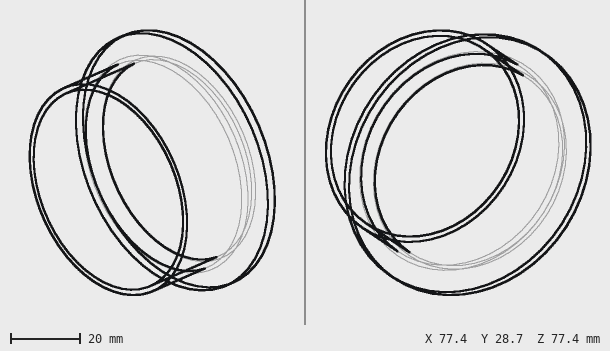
import cadquery as cq
import math

flange_diameter = 77.39
tube_outer_diameter = 63.5
tube_bore_diameter = 60.2
overall_length = 28.7
rim_thickness = 2.85
cone_angle = math.radians(20.0)
neck_fillet_radius = 1.6
mouth_round_radius = 0.8

flange_radius = flange_diameter / 2
tube_radius = tube_outer_diameter / 2
bore_radius = tube_bore_diameter / 2
cone_drop = (flange_radius - tube_radius) * math.tan(cone_angle)
neck_y = -(rim_thickness + cone_drop)

neck_tangent_length = neck_fillet_radius * math.tan((math.pi / 2 - cone_angle) / 2)


def make_profile():
    """Half section of the ferrule in the YZ plane: local x is Y, local y is the radius."""
    cone_end = (
        neck_y + neck_tangent_length * math.sin(cone_angle),
        tube_radius + neck_tangent_length * math.cos(cone_angle),
    )
    tube_start = (neck_y - neck_tangent_length, tube_radius)
    return (
        cq.Workplane("YZ")
        .moveTo(0, bore_radius + mouth_round_radius)
        .lineTo(0, flange_radius)
        .lineTo(-rim_thickness, flange_radius)
        .lineTo(*cone_end)
        .tangentArcPoint(tube_start, relative=False)
        .lineTo(-overall_length, tube_radius)
        .lineTo(-overall_length, bore_radius)
        .lineTo(-mouth_round_radius, bore_radius)
        .tangentArcPoint((0, bore_radius + mouth_round_radius), relative=False)
        .close()
    )


def make_ferrule():
    """Revolve the half section about the Y axis."""
    return make_profile().revolve(360, (0, 0, 0), (1, 0, 0))


result = make_ferrule()